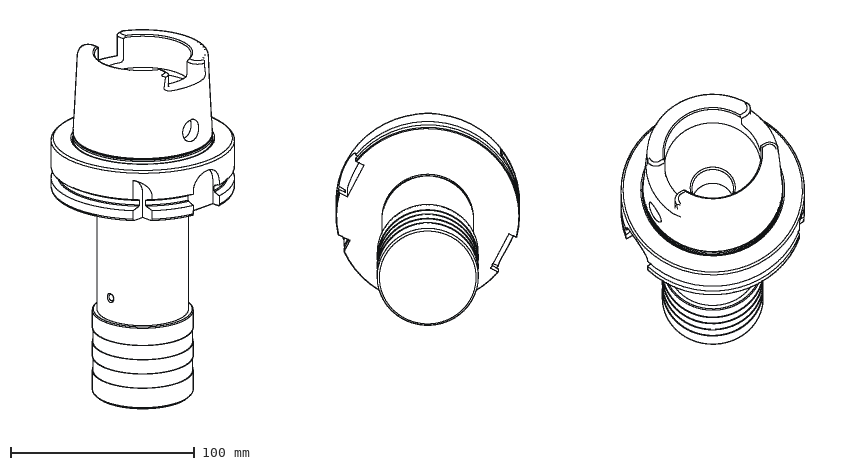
import cadquery as cq
import math

TOTAL_HEIGHT = 198.0
FLANGE_TOP = 148.1
FLANGE_BOTTOM = 119.0

SLEEVE_RADIUS = 27.5
SLEEVE_TOP = 48.1
SLEEVE_GROOVE_DEPTH = 0.4
SLEEVE_BAND_HEIGHT = 8.3
SLEEVE_FIRST_GROOVE = 12.5
SLEEVE_GROOVE_COUNT = 2
SLEEVE_BASE_CHAMFER = 1.2
SLEEVE_TOP_CHAMFER = 0.5

STEM_RADIUS = 25.0
STEM_TOP = 112.0
NECK_RADIUS = 24.4
NECK_BOTTOM = 113.5
NECK_MIDDLE = 114.0
NECK_TOP = 114.8
NECK_FLARE = 3.0

SCREW_Z = 61.4
SCREW_RADIUS = 1.8
SCREW_DEPTH = 4.0
SCREW_MOUTH_RADIUS = 2.5
SCREW_CORE_RADIUS = 0.8
SCREW_CORE_DEPTH = 8.0

FLANGE_DIAMETER = 100.0
FLANGE_RADIUS = FLANGE_DIAMETER / 2
FLANGE_TOP_CHAMFER = 1.2
FLANGE_BOTTOM_CHAMFER_WIDTH = 0.4
FLANGE_BOTTOM_CHAMFER_HEIGHT = 1.0
GROOVE_FLOOR_RADIUS = 46.1
GROOVE_LOWER_EDGE = 125.0
GROOVE_UPPER_EDGE = 131.5
GROOVE_FLANK_HEIGHT = 1.4
GROOVE_CORNER_HEIGHT = 0.5
GROOVE_CORNER_WIDTH = 0.4
RECESS_RADIUS = 39.2
RECESS_FLOOR_RADIUS = 38.5
RECESS_DEPTH = 0.8

TAPER_BASE = 150.9
TAPER_BASE_RADIUS = 38.0
TAPER_SLOPE = 0.05
RELIEF_DEPTH = 0.5
RELIEF_WIDTH = 1.8
RIM_ROUND = 2.0

BORE_RADIUS = 26.3
BORE_MOUTH_CHAMFER = 0.8
BORE_SHOULDER = 179.0
CHAMBER_RADIUS = 31.7
CHAMBER_BOTTOM = 158.0
BORE_FLOOR_RADIUS = 24.8
CENTER_HOLE_RADIUS = 11.3
CENTER_HOLE_CHAMFER = 1.0
CENTER_HOLE_DEPTH = 19.8

NOTCH_WIDTH = 19.2
NOTCH_HALF_WIDTH = NOTCH_WIDTH / 2
NOTCH_FLARE_RADIUS = 5.1
NOTCH_FLARE_START = 27.3
NOTCH_EXIT_LENGTH = 15.8
NOTCH_FLOOR_FILLET = 2.0
LEFT_NOTCH_FLOOR = 183.0
RIGHT_NOTCH_FLOOR = 188.3
NOTCH_BEVEL_WIDTH = 1.8
NOTCH_BEVEL_HEIGHT = 1.4

CROSS_HOLE_RADIUS = 6.1
CROSS_HOLE_Z = 162.8

SLOT_TOP = 143.0
SLOT_FLOOR = 44.0
LEFT_SLOT_WIDTH = 22.0
RIGHT_SLOT_WIDTH = 20.0
CORNER_SLOT_WIDTH = RIGHT_SLOT_WIDTH
CORNER_SLOT_INSET = 31.5
FLAT_DISTANCE = 47.1
FLAT_DIRECTION = 135
FLAT_BOTTOM = 136.5
FLAT_TOP = 144.1

CUTTER_REACH = 59.4
OVERCUT = 2.0


def taper_radius(z):
    return TAPER_BASE_RADIUS - TAPER_SLOPE * (z - TAPER_BASE)


def outer_body():
    """Solid of revolution from the sleeve base to the rounded rim of the shank."""
    sleeve_points = [(SLEEVE_RADIUS - SLEEVE_BASE_CHAMFER, 0), (SLEEVE_RADIUS, SLEEVE_BASE_CHAMFER)]
    grooved_radius = SLEEVE_RADIUS - SLEEVE_GROOVE_DEPTH
    for index in range(SLEEVE_GROOVE_COUNT):
        start = SLEEVE_FIRST_GROOVE + 2 * index * SLEEVE_BAND_HEIGHT
        end = start + SLEEVE_BAND_HEIGHT
        sleeve_points += [(SLEEVE_RADIUS, start), (grooved_radius, start)]
        sleeve_points += [(grooved_radius, end), (SLEEVE_RADIUS, end)]
    sleeve_points += [
        (SLEEVE_RADIUS, SLEEVE_TOP - SLEEVE_TOP_CHAMFER),
        (SLEEVE_RADIUS - SLEEVE_TOP_CHAMFER, SLEEVE_TOP),
    ]
    stem_points = [
        (STEM_RADIUS, SLEEVE_TOP),
        (STEM_RADIUS, STEM_TOP),
        (NECK_RADIUS, NECK_BOTTOM),
        (NECK_RADIUS, NECK_MIDDLE),
        (STEM_RADIUS, NECK_TOP),
        (STEM_RADIUS, FLANGE_BOTTOM - NECK_FLARE),
    ]
    groove_side = GROOVE_FLANK_HEIGHT + GROOVE_CORNER_HEIGHT
    flange_points = [
        (FLANGE_RADIUS - FLANGE_BOTTOM_CHAMFER_WIDTH, FLANGE_BOTTOM),
        (FLANGE_RADIUS, FLANGE_BOTTOM + FLANGE_BOTTOM_CHAMFER_HEIGHT),
        (FLANGE_RADIUS, GROOVE_LOWER_EDGE),
        (GROOVE_FLOOR_RADIUS + GROOVE_CORNER_WIDTH, GROOVE_LOWER_EDGE + GROOVE_FLANK_HEIGHT),
        (GROOVE_FLOOR_RADIUS, GROOVE_LOWER_EDGE + groove_side),
        (GROOVE_FLOOR_RADIUS, GROOVE_UPPER_EDGE - groove_side),
        (GROOVE_FLOOR_RADIUS + GROOVE_CORNER_WIDTH, GROOVE_UPPER_EDGE - GROOVE_FLANK_HEIGHT),
        (FLANGE_RADIUS, GROOVE_UPPER_EDGE),
        (FLANGE_RADIUS, FLANGE_TOP - FLANGE_TOP_CHAMFER),
        (FLANGE_RADIUS - FLANGE_TOP_CHAMFER, FLANGE_TOP),
        (RECESS_RADIUS, FLANGE_TOP),
        (RECESS_FLOOR_RADIUS, FLANGE_TOP - RECESS_DEPTH),
    ]
    relief_radius = TAPER_BASE_RADIUS - RELIEF_DEPTH
    shank_points = [
        (TAPER_BASE_RADIUS, FLANGE_TOP - RECESS_DEPTH),
        (TAPER_BASE_RADIUS, TAPER_BASE - RELIEF_WIDTH),
        (relief_radius, TAPER_BASE - RELIEF_WIDTH + RELIEF_DEPTH),
        (relief_radius, TAPER_BASE - RELIEF_DEPTH),
        (TAPER_BASE_RADIUS, TAPER_BASE),
        (taper_radius(TOTAL_HEIGHT), TOTAL_HEIGHT),
        (0, TOTAL_HEIGHT),
    ]
    profile = cq.Workplane("XZ").moveTo(0, 0)
    for point in sleeve_points + stem_points:
        profile = profile.lineTo(*point)
    profile = profile.radiusArc((STEM_RADIUS + NECK_FLARE, FLANGE_BOTTOM), NECK_FLARE)
    for point in flange_points + shank_points:
        profile = profile.lineTo(*point)
    body = profile.close().revolve(360, (0, 0, 0), (0, 1, 0))
    return body.faces(">Z").edges().fillet(RIM_ROUND)


def shank_bore():
    """Bore opening into a wider chamber, with a blind hole in the middle of its floor."""
    chamber_top = BORE_SHOULDER - (CHAMBER_RADIUS - BORE_RADIUS)
    fillet_radius = CHAMBER_RADIUS - BORE_FLOOR_RADIUS
    floor_z = CHAMBER_BOTTOM - fillet_radius
    return (
        cq.Workplane("XZ")
        .moveTo(0, TOTAL_HEIGHT)
        .lineTo(BORE_RADIUS + BORE_MOUTH_CHAMFER, TOTAL_HEIGHT)
        .lineTo(BORE_RADIUS, TOTAL_HEIGHT - BORE_MOUTH_CHAMFER)
        .lineTo(BORE_RADIUS, BORE_SHOULDER)
        .lineTo(CHAMBER_RADIUS, chamber_top)
        .lineTo(CHAMBER_RADIUS, CHAMBER_BOTTOM)
        .radiusArc((BORE_FLOOR_RADIUS, floor_z), fillet_radius)
        .lineTo(CENTER_HOLE_RADIUS + CENTER_HOLE_CHAMFER, floor_z)
        .lineTo(CENTER_HOLE_RADIUS, floor_z - CENTER_HOLE_CHAMFER)
        .lineTo(CENTER_HOLE_RADIUS, floor_z - CENTER_HOLE_DEPTH)
        .lineTo(0, floor_z - CENTER_HOLE_DEPTH)
        .close()
        .revolve(360, (0, 0, 0), (0, 1, 0))
    )


def drive_notch(floor_z):
    """Notch on the +X side; its walls flare outwards and leave along a tangent to the shank."""
    center_x = NOTCH_FLARE_START
    center_y = NOTCH_HALF_WIDTH + NOTCH_FLARE_RADIUS
    exit_angle = math.atan2(center_y, center_x)
    middle_angle = (exit_angle - math.pi / 2) / 2

    def on_flare(angle):
        return (
            center_x + NOTCH_FLARE_RADIUS * math.cos(angle),
            center_y + NOTCH_FLARE_RADIUS * math.sin(angle),
        )

    def mirrored(point):
        return (point[0], -point[1])

    arc_start = (center_x, NOTCH_HALF_WIDTH)
    arc_middle = on_flare(middle_angle)
    arc_end = on_flare(exit_angle)
    exit_point = (
        arc_end[0] - NOTCH_EXIT_LENGTH * math.sin(exit_angle),
        arc_end[1] + NOTCH_EXIT_LENGTH * math.cos(exit_angle),
    )

    def outline_at(z):
        return (
            cq.Workplane("XY", origin=(0, 0, z))
            .moveTo(0, NOTCH_HALF_WIDTH)
            .lineTo(*arc_start)
            .threePointArc(arc_middle, arc_end)
            .lineTo(*exit_point)
            .lineTo(CUTTER_REACH, exit_point[1])
            .lineTo(CUTTER_REACH, -exit_point[1])
            .lineTo(*mirrored(exit_point))
            .lineTo(*mirrored(arc_end))
            .threePointArc(mirrored(arc_middle), mirrored(arc_start))
            .lineTo(0, -NOTCH_HALF_WIDTH)
            .close()
        )

    pocket = outline_at(floor_z).extrude(TOTAL_HEIGHT - floor_z)
    pocket = pocket.faces("<Z").edges().fillet(NOTCH_FLOOR_FILLET)
    bevel_angle = math.degrees(math.atan2(NOTCH_BEVEL_WIDTH, NOTCH_BEVEL_HEIGHT))
    bevel = outline_at(TOTAL_HEIGHT - NOTCH_BEVEL_HEIGHT).extrude(NOTCH_BEVEL_HEIGHT, taper=-bevel_angle)
    return pocket.union(bevel)


def round_top_slot(width, floor_x, center_y):
    """Slot milled along X from floor_x outwards, open at the bottom of the flange, round on top."""
    radius = width / 2
    spring_z = SLOT_TOP - radius
    return (
        cq.Workplane("YZ", origin=(floor_x, 0, 0))
        .moveTo(center_y - radius, FLANGE_BOTTOM - OVERCUT)
        .lineTo(center_y - radius, spring_z)
        .threePointArc((center_y, SLOT_TOP), (center_y + radius, spring_z))
        .lineTo(center_y + radius, FLANGE_BOTTOM - OVERCUT)
        .close()
        .extrude(CUTTER_REACH)
    )


def cross_hole():
    start = cq.Workplane("YZ", origin=(0, 0, CROSS_HOLE_Z))
    return start.circle(CROSS_HOLE_RADIUS).extrude(CUTTER_REACH, both=True)


def flange_flat():
    """Shallow flat facing +X, closed above and below by the flange."""
    return (
        cq.Workplane("XY", origin=(FLAT_DISTANCE, 0, FLAT_BOTTOM))
        .rect(CUTTER_REACH, 2 * CUTTER_REACH)
        .extrude(FLAT_TOP - FLAT_BOTTOM)
        .translate((CUTTER_REACH / 2, 0, 0))
    )


def screw_hole():
    """Stepped blind hole with a chamfered mouth, entering the stem from the -Y side."""
    mouth_depth = SCREW_MOUTH_RADIUS - SCREW_RADIUS
    return (
        cq.Workplane("XY", origin=(0, -STEM_RADIUS, SCREW_Z))
        .moveTo(0, -OVERCUT)
        .lineTo(SCREW_MOUTH_RADIUS, -OVERCUT)
        .lineTo(SCREW_MOUTH_RADIUS, 0)
        .lineTo(SCREW_RADIUS, mouth_depth)
        .lineTo(SCREW_RADIUS, SCREW_DEPTH)
        .lineTo(SCREW_CORE_RADIUS, SCREW_DEPTH)
        .lineTo(SCREW_CORE_RADIUS, SCREW_CORE_DEPTH)
        .lineTo(0, SCREW_CORE_DEPTH)
        .close()
        .revolve(360, (0, 0, 0), (0, 1, 0))
    )


def turned(cutter, degrees):
    return cutter.rotate((0, 0, 0), (0, 0, 1), degrees)


corner_slot_center = -CORNER_SLOT_INSET - CORNER_SLOT_WIDTH / 2
cutters = [
    drive_notch(RIGHT_NOTCH_FLOOR),
    turned(drive_notch(LEFT_NOTCH_FLOOR), 180),
    shank_bore(),
    cross_hole(),
    round_top_slot(RIGHT_SLOT_WIDTH, SLOT_FLOOR, 0),
    turned(round_top_slot(LEFT_SLOT_WIDTH, SLOT_FLOOR, 0), 180),
    round_top_slot(CORNER_SLOT_WIDTH, CORNER_SLOT_INSET, corner_slot_center),
    turned(flange_flat(), FLAT_DIRECTION),
    screw_hole(),
]

result = outer_body()
for cutter in cutters:
    result = result.cut(cutter)